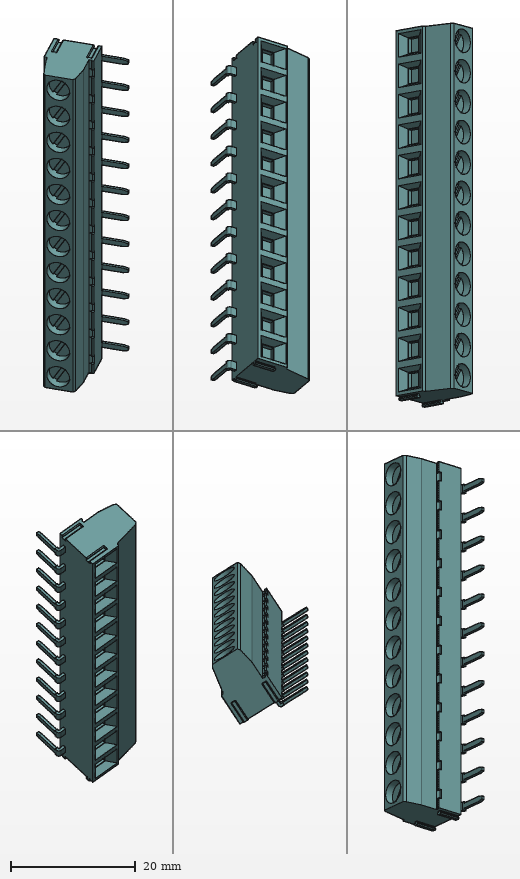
import cadquery as cq

pole_count = 12
pole_pitch = 5.0
body_width = 8.0
body_depth = 10.65
body_height = pole_count * pole_pitch

shoulder_y = 5.15
shoulder_step = 0.5
shoulder_drop = 0.2
nose_left = 1.35
nose_right = 6.65
nose_bevel_x = 0.3
nose_bevel_y = 0.4
right_wall_x = 7.15
right_taper_y = 3.15
flange_y = 6.3
lip_x = 7.65
lip_height = 0.2

screw_x = 3.9
screw_diameter = 3.8
screw_recess = 1.4
slot_width = 0.65
slot_depth = 0.35
slot_angle = 59

entry_mouth_height = 3.9
entry_mouth_y = (5.45, 10.1)
entry_throat_height = 2.7
entry_throat_y = (6.9, 9.2)
funnel_depth = 1.3
throat_inset = 0.1
throat_depth = 0.7

notch_height = 1.5
notch_floor_x = 7.65
notch_depth = 0.3

joint_start_y = 6.9
joint_depth = 0.6
joint_neck_width = 0.55
joint_wide_width = 0.9
joint_neck_length = 0.2
joint_tip_bevel = 0.2
left_joint_x = 1.15
right_joint_x = 7.0

pin_drop = 0.55
pin_thickness = 0.5
pin_root_x = 6.65
pin_root_width = 1.45
pin_width = 0.9
pin_end_x = 12.05
pin_end_y = 12.1
pin_bend_radius = 0.5
pin_step_x = 7.5
pin_root_depth = 2.4
pin_tip_length = 0.8
pin_tip_width = 0.55


def make_housing():
    outline = [
        (0, body_depth),
        (0, shoulder_y),
        (shoulder_step, shoulder_y - shoulder_drop),
        (nose_left, nose_bevel_y),
        (nose_left + nose_bevel_x, 0),
        (nose_right - nose_bevel_x, 0),
        (nose_right, nose_bevel_y),
        (right_wall_x, right_taper_y),
        (right_wall_x, flange_y),
        (lip_x, flange_y),
        (lip_x, flange_y - lip_height),
        (body_width, flange_y - lip_height),
        (body_width, body_depth),
    ]
    return cq.Workplane("XY").polyline(outline).close().extrude(body_height)


def make_screw_opening(center_z):
    face = cq.Workplane("XZ", origin=(screw_x, 0, center_z))
    recess = face.circle(screw_diameter / 2).extrude(-screw_recess)
    blade = (
        face.workplane(offset=-screw_recess - slot_depth)
        .transformed(rotate=(0, 0, slot_angle))
        .rect(2 * screw_diameter, slot_width)
        .extrude(slot_depth)
    )
    head = face.circle(screw_diameter / 2).extrude(-screw_recess - slot_depth)
    return recess.union(blade.intersect(head))


def make_wire_entry(center_z):
    mouth_y = sum(entry_mouth_y) / 2
    throat_y = sum(entry_throat_y) / 2
    mouth_width = entry_mouth_y[1] - entry_mouth_y[0]
    throat_width = entry_throat_y[1] - entry_throat_y[0]
    funnel = (
        cq.Workplane("YZ", origin=(0, mouth_y, center_z))
        .rect(mouth_width, entry_mouth_height)
        .workplane(offset=funnel_depth)
        .center(throat_y - mouth_y, 0)
        .rect(throat_width, entry_throat_height)
        .loft(ruled=True)
    )
    throat = (
        cq.Workplane("YZ", origin=(0, throat_y, center_z))
        .rect(throat_width - 2 * throat_inset, entry_throat_height - 2 * throat_inset)
        .extrude(funnel_depth + throat_depth)
    )
    return funnel.union(throat)


def make_notch(center_z):
    floor_y = flange_y + notch_depth
    profile = [
        (right_wall_x, flange_y),
        (notch_floor_x, floor_y),
        (body_width, floor_y),
        (body_width, flange_y - lip_height),
        (lip_x, flange_y - lip_height),
    ]
    notch = cq.Workplane("XY").polyline(profile).close().extrude(notch_height / 2, both=True)
    return notch.translate((0, 0, center_z))


def make_joint(half_profile, center_x, base_z):
    mirrored = [(-x, z) for x, z in reversed(half_profile)]
    joint = cq.Workplane("XZ", origin=(center_x, body_depth, base_z))
    return joint.polyline(half_profile + mirrored).close().extrude(body_depth - joint_start_y)


def make_tongue(center_x):
    half_profile = [
        (joint_neck_width / 2, 0),
        (joint_neck_width / 2, -joint_neck_length),
        (joint_wide_width / 2, joint_tip_bevel - joint_depth),
        (joint_neck_width / 2, -joint_depth),
    ]
    return make_joint(half_profile, center_x, 0)


def make_groove(center_x):
    half_profile = [
        (joint_wide_width / 2, 0),
        (joint_neck_width / 2, -joint_neck_length),
        (joint_wide_width / 2, -joint_depth),
    ]
    return make_joint(half_profile, center_x, body_height)


def make_pin(center_z):
    inner_x = pin_root_x + pin_thickness
    inner_y = pin_end_y - pin_thickness
    bent_strip = (
        cq.Workplane("XY")
        .moveTo(pin_root_x, body_depth - pin_root_depth)
        .lineTo(pin_root_x, pin_end_y - pin_bend_radius)
        .radiusArc((pin_root_x + pin_bend_radius, pin_end_y), pin_bend_radius)
        .lineTo(pin_end_x, pin_end_y)
        .lineTo(pin_end_x, inner_y)
        .lineTo(inner_x, inner_y)
        .lineTo(inner_x, body_depth - pin_root_depth)
        .close()
        .extrude(pin_root_width / 2, both=True)
    )
    half_profile = [
        (pin_root_x, pin_root_width / 2),
        (pin_step_x, pin_root_width / 2),
        (pin_step_x, pin_width / 2),
        (pin_end_x - pin_tip_length, pin_width / 2),
        (pin_end_x, pin_tip_width / 2),
    ]
    mirrored = [(x, -z) for x, z in reversed(half_profile)]
    blank = cq.Workplane("XZ").polyline(half_profile + mirrored).close().extrude(-2 * pin_end_y)
    return bent_strip.intersect(blank).translate((0, 0, center_z))


result = make_housing()

for joint_x in (left_joint_x, right_joint_x):
    result = result.union(make_tongue(joint_x))
    result = result.cut(make_groove(joint_x))

for pole in range(pole_count):
    pole_z = (pole + 0.5) * pole_pitch
    result = result.cut(make_screw_opening(pole_z))
    result = result.cut(make_wire_entry(pole_z))
    result = result.cut(make_notch(pole_z))
    result = result.union(make_pin(pole_z - pin_drop))